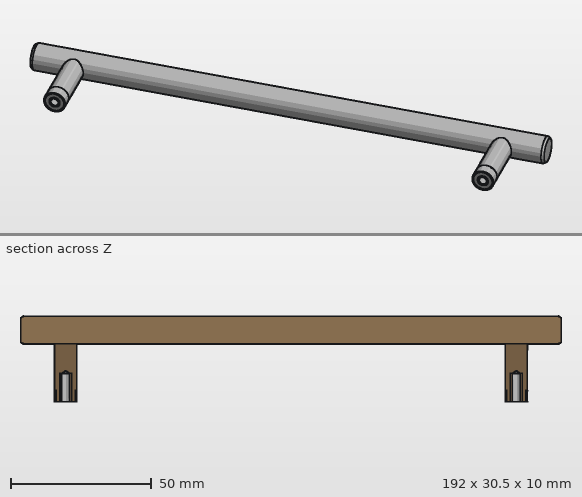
import cadquery as cq

bar_length = 192.0
bar_diameter = 10.0
bar_chamfer_length = 1.0
bar_chamfer_depth = 0.6

post_spacing = 160.0
post_diameter = 8.0
foot_y = -25.5

collar_length = 4.0
collar_wall = 0.5
spigot_diameter = post_diameter - 2 * collar_wall

insert_diameter = 4.0
insert_bore = 2.8
insert_length = 10.0
drill_tip_length = 1.0

post_positions = [-post_spacing / 2, post_spacing / 2]
collar_top_y = foot_y + collar_length
insert_top_y = foot_y + insert_length


def rod_along_y(x, y_start, y_end, diameter):
    """Solid round rod parallel to Y, from y_start up to y_end."""
    plane = cq.Plane(origin=(x, y_start, 0), xDir=(-1, 0, 0), normal=(0, 1, 0))
    return cq.Workplane(plane).circle(diameter / 2).extrude(y_end - y_start)


def ring_along_y(x, y_start, y_end, outer_diameter, inner_diameter):
    """Round tube parallel to Y, from y_start up to y_end."""
    outer = rod_along_y(x, y_start, y_end, outer_diameter)
    return outer.cut(rod_along_y(x, y_start, y_end, inner_diameter)).solids()


def make_bar():
    """Round bar with chamfered ends, turned about the X axis."""
    half_length = bar_length / 2
    radius = bar_diameter / 2
    shoulder_x = half_length - bar_chamfer_length
    end_radius = radius - bar_chamfer_depth
    half_profile = [
        (-half_length, 0),
        (-half_length, -end_radius),
        (-shoulder_x, -radius),
        (shoulder_x, -radius),
        (half_length, -end_radius),
        (half_length, 0),
    ]
    return cq.Workplane("XY").polyline(half_profile).close().revolve(360, (0, 0), (1, 0))


def make_drill_tip(x):
    """Cone that closes the screw hole above the insert."""
    cone = cq.Solid.makeCone(
        insert_bore / 2, 0, drill_tip_length, pnt=cq.Vector(x, insert_top_y, 0), dir=cq.Vector(0, 1, 0)
    )
    return cq.Workplane(cone)


def make_post(x, bar):
    """Leg whose top is fitted to the bar, with a turned-down foot and a blind screw hole."""
    shank = rod_along_y(x, collar_top_y, 0, post_diameter).cut(bar)
    spigot = rod_along_y(x, foot_y, collar_top_y, spigot_diameter)
    insert_hole = rod_along_y(x, foot_y, insert_top_y, insert_diameter)
    return shank.union(spigot).cut(insert_hole).cut(make_drill_tip(x)).solids()


def make_collar(x):
    """Ring that brings the foot of a post back to its full diameter."""
    return ring_along_y(x, foot_y, collar_top_y, post_diameter, spigot_diameter)


def make_insert(x):
    """Tube, flush with the foot, that holds the mounting screw."""
    return ring_along_y(x, foot_y, insert_top_y, insert_diameter, insert_bore)


bar = make_bar()
bodies = [bar.val()]
for post_x in post_positions:
    bodies.append(make_post(post_x, bar).val())
    bodies.append(make_collar(post_x).val())
    bodies.append(make_insert(post_x).val())

result = cq.Compound.makeCompound(bodies)